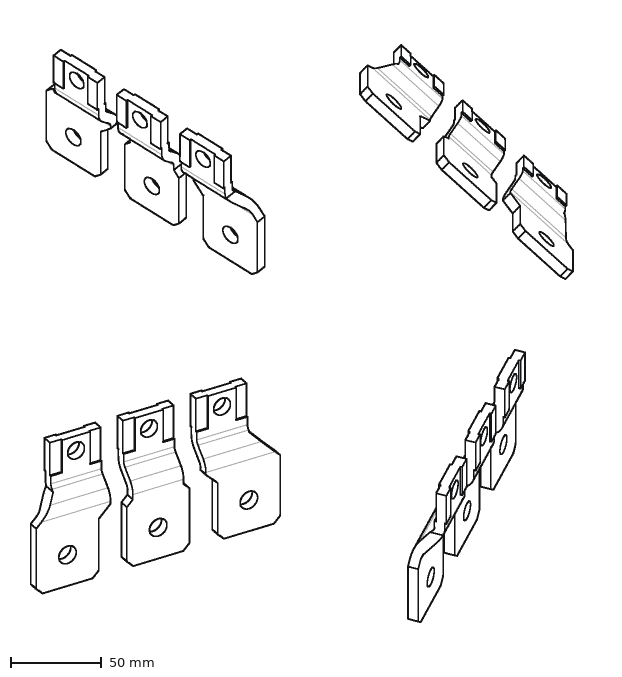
import cadquery as cq
import math

set_length = 155.5
height = 88.0
thickness = 6.0
offset = 10.0
inner_radius = 4.0
outer_radius = inner_radius + thickness
bend_angle = math.radians(45)
upper_bend_z = 62.2

palm_width = 40.0
tab_width = 32.3
corner_chamfer = 4.0
palm_hole_diameter = 11.0
palm_hole_z = 20.0
tab_hole_diameter = 10.5
tab_hole_margin = 9.5
tab_hole_z = height - tab_hole_margin

pad_step = 1.0
pad_height = 21.0
pad_gap = 18.0
pad_width = (tab_width - pad_gap) / 2

middle_shoulder_z = 39.2
outer_shoulder_z = 42.9
inner_shoulder_z = 37.2
tab_overhang = 7.5

palm_pitch = (set_length - palm_width) / 2
tab_shift = palm_width / 2 + tab_overhang - tab_width / 2


def arc_points(center, radius, start, end):
    """Start, middle and end (Y, Z) points of an arc given by its center and angles."""
    return [
        (center[0] + radius * math.cos(angle), center[1] + radius * math.sin(angle))
        for angle in (start, (start + end) / 2, end)
    ]


def bent_sheet():
    """The sheet with its two opposite bends, as wide as the whole set."""
    mean_radius = inner_radius + thickness / 2
    slope_length = (offset - 2 * mean_radius * (1 - math.cos(bend_angle))) / math.sin(bend_angle)
    bend_height = 2 * mean_radius * math.sin(bend_angle) + slope_length * math.cos(bend_angle)

    lower_center = (-thickness - inner_radius, upper_bend_z - bend_height)
    upper_center = (-offset + inner_radius, upper_bend_z)
    back_lower = arc_points(lower_center, outer_radius, 0, bend_angle)
    back_upper = arc_points(upper_center, inner_radius, math.pi + bend_angle, math.pi)
    front_upper = arc_points(upper_center, outer_radius, math.pi, math.pi + bend_angle)
    front_lower = arc_points(lower_center, inner_radius, bend_angle, 0)

    return (
        cq.Workplane("YZ")
        .moveTo(0, 0)
        .lineTo(*back_lower[0])
        .threePointArc(*back_lower[1:])
        .lineTo(*back_upper[0])
        .threePointArc(*back_upper[1:])
        .lineTo(-offset, height)
        .lineTo(-offset - thickness, height)
        .lineTo(*front_upper[0])
        .threePointArc(*front_upper[1:])
        .lineTo(*front_lower[0])
        .threePointArc(*front_lower[1:])
        .lineTo(-thickness, 0)
        .close()
        .extrude(set_length / 2, both=True)
    )


def link(palm_x, tab_x, left_shoulder_z, right_shoulder_z):
    """One link; each shoulder height is where the straight palm side ends."""
    palm_left = palm_x - palm_width / 2
    palm_right = palm_x + palm_width / 2
    tab_left = tab_x - tab_width / 2
    tab_right = tab_x + tab_width / 2
    outline = [
        (palm_left + corner_chamfer, 0),
        (palm_right - corner_chamfer, 0),
        (palm_right, corner_chamfer),
        (palm_right, right_shoulder_z),
        (tab_right, right_shoulder_z + abs(tab_right - palm_right)),
        (tab_right, height),
        (tab_left, height),
        (tab_left, left_shoulder_z + abs(tab_left - palm_left)),
        (palm_left, left_shoulder_z),
        (palm_left, corner_chamfer),
    ]
    reach = offset + thickness
    blank = cq.Workplane("XZ").polyline(outline).close().extrude(reach)
    body = bent_sheet().intersect(blank)

    pad = cq.Workplane("XY").box(pad_width, pad_step, pad_height, centered=(True, False, False))
    pad_z = height - pad_height
    for side in (-1, 1):
        pad_x = tab_x + side * (pad_gap + pad_width) / 2
        body = body.cut(pad.translate((pad_x, -offset - pad_step, pad_z)))
        body = body.union(pad.translate((pad_x, -reach - pad_step, pad_z)))

    for hole_x, hole_z, diameter in (
        (palm_x, palm_hole_z, palm_hole_diameter),
        (tab_x, tab_hole_z, tab_hole_diameter),
    ):
        hole = cq.Workplane("XZ").center(hole_x, hole_z).circle(diameter / 2).extrude(reach)
        body = body.cut(hole)
    return body


middle_link = link(0, 0, middle_shoulder_z, middle_shoulder_z)
left_link = link(-palm_pitch, -palm_pitch + tab_shift, outer_shoulder_z, inner_shoulder_z)
right_link = left_link.mirror("YZ")

result = cq.Compound.makeCompound([left_link.val(), middle_link.val(), right_link.val()])